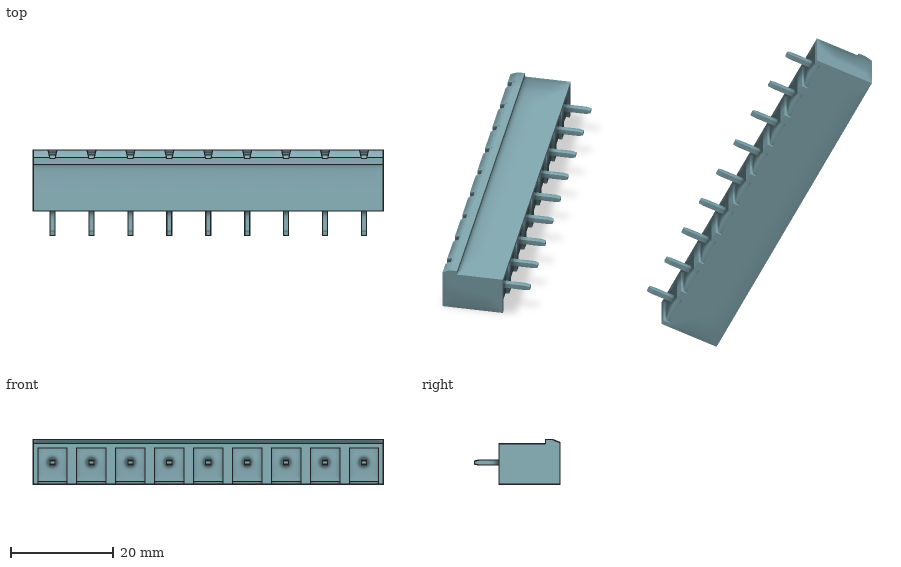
import cadquery as cq
housing_length = 68.5
pole_count = 9
pole_pitch = 7.62

housing_depth = 12.0
deck_height = 7.95
total_height = 8.8
lip_depth = 2.9
lip_chamfer_depth = 1.45
lip_chamfer_height = 0.6

window_width = 5.75
window_top = 7.1
window_depth = 0.6
relief_height = 0.55
relief_depth = 2 * window_depth

pin_size = 1.0
pin_height = 4.25
pin_length = 4.8
tip_length = 0.95
tip_thickness = 0.6

notch_outer_width = 1.8
notch_inner_width = 1.0
notch_length = 1.65
notch_entry_length = 0.4
notch_floor_length = 0.6
notch_floor_height = 7.4
notch_ramp_height = 0.2
notch_entry_drop = 0.3
notch_floor_sag = 0.15

overlap = 0.7
first_pole_x = -pole_pitch * (pole_count - 1) / 2
pole_positions = [first_pole_x + i * pole_pitch for i in range(pole_count)]


def make_housing():
    """Bar with a raised, chamfered lip along its rear edge."""
    lip_front = housing_depth - lip_depth
    profile = [
        (0, 0),
        (housing_depth, 0),
        (housing_depth, total_height - lip_chamfer_height),
        (housing_depth - lip_chamfer_depth, total_height),
        (lip_front, total_height),
        (lip_front, deck_height),
        (0, deck_height),
    ]
    return cq.Workplane("YZ").polyline(profile).close().extrude(housing_length / 2, both=True)


def make_window():
    """Front recess whose lower edge steps further back into the underside."""
    profile = [
        (-overlap, -overlap),
        (relief_depth, -overlap),
        (relief_depth, relief_height),
        (window_depth, relief_height),
        (window_depth, window_top),
        (-overlap, window_top),
    ]
    return cq.Workplane("YZ").polyline(profile).close().extrude(window_width / 2, both=True)


def make_pin():
    """Square pin rooted behind the window, with a tip tapered top and bottom."""
    root = window_depth + overlap
    taper_start = tip_length - pin_length
    upper_edge = pin_height + pin_size / 2
    lower_edge = pin_height - pin_size / 2
    profile = [
        (root, lower_edge),
        (root, upper_edge),
        (taper_start, upper_edge),
        (-pin_length, pin_height + tip_thickness / 2),
        (-pin_length, pin_height - tip_thickness / 2),
        (taper_start, lower_edge),
    ]
    return cq.Workplane("YZ").polyline(profile).close().extrude(pin_size / 2, both=True)


def trough_loft(start_y, start_floor, end_y, end_floor):
    """Straight blend between two trough sections that are open at the top."""
    half_width = notch_outer_width / 2
    top = total_height + overlap

    def section(y, floor):
        side = floor + notch_floor_sag
        wire = (
            cq.Workplane("XZ", origin=(0, y, 0))
            .moveTo(-half_width, top)
            .lineTo(-half_width, side)
            .threePointArc((0, floor), (half_width, side))
            .lineTo(half_width, top)
            .close()
        )
        return wire.val()

    sections = [section(start_y, start_floor), section(end_y, end_floor)]
    return cq.Workplane(cq.Solid.makeLoft(sections, True))


def make_notch():
    """Lead-in slope, trough floor and end ramp, narrowed inwards by the side walls."""
    rear = housing_depth
    entry_end = rear - notch_entry_length
    floor_end = entry_end - notch_floor_length
    notch_end = rear - notch_length
    entry = trough_loft(rear, notch_floor_height - notch_entry_drop, entry_end, notch_floor_height)
    floor = trough_loft(entry_end, notch_floor_height, notch_end, notch_floor_height)
    floor_bottom = notch_floor_height - overlap
    ramp = (
        cq.Workplane("YZ")
        .polyline([
            (floor_end, floor_bottom),
            (floor_end, total_height - notch_ramp_height),
            (notch_end, total_height),
            (notch_end, floor_bottom),
        ])
        .close()
        .extrude(notch_outer_width, both=True)
    )
    plan = (
        cq.Workplane("XY")
        .polyline([
            (-notch_outer_width / 2, rear),
            (notch_outer_width / 2, rear),
            (notch_inner_width / 2, notch_end),
            (-notch_inner_width / 2, notch_end),
        ])
        .close()
        .extrude(total_height + overlap)
    )
    return entry.union(floor).cut(ramp).intersect(plan)


window = make_window()
notch = make_notch()
pin = make_pin()

result = make_housing()
for x in pole_positions:
    place = (x, 0, 0)
    result = result.cut(window.translate(place))
    result = result.cut(notch.translate(place))
    result = result.union(pin.translate(place))